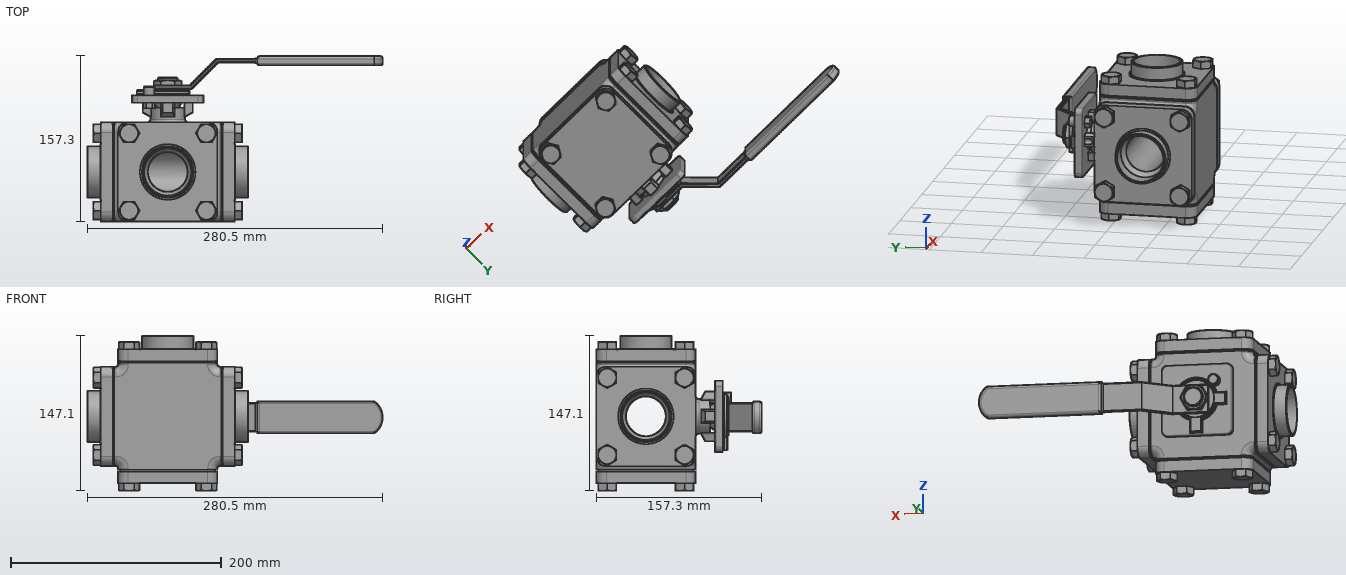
import cadquery as cq
import math


flange_width = 94.4
corner_radius = 9.5
half_width = flange_width / 2
body_end = 50.7
body_pad_start = 49.3
cover_inner = 52.4
cover_outer = 63.5
gasket_recess = 2.0
notch_radius = body_pad_start - half_width

pipe_radius = 24.5
pipe_end = 76.4
pipe_rim_chamfer = 0.6
weld_ring_radius = 26.4
weld_ring_height = 0.7
socket_radius = 22.4
socket_depth = 16.7
socket_cone_length = 7.8
bore_radius = 18.8

bolt_offset = 36.7
bolt_head_width = 17.2
bolt_head_top = 70.7
hex_chamfer_angle = 30.0

neck_radius = 16.6
neck_top = 61.0
neck_flare = 3.0
ear_width = 9.5
ear_root_width = 13.0
ear_inner = 15.5
ear_outer = 23.8
ear_shoulder = 56.4
ear_foot = 52.5
groove_radius = 2.7
groove_bottom = 57.2
gland_bottom_radius = 10.5
gland_top_radius = 13.3

plate_bottom = 65.6
plate_top = 73.0
plate_width = 68.0
plate_corner_radius = 5.3
plate_edge_radius = 0.7
pin_circle_radius = 25.0
pin_radius = 5.1
pin_top = 81.2
pin_chamfer = 0.6
pin_nut_width = 10.0
pin_nut_bottom = 60.4

stop_top = 77.8
stop_edge_chamfer = 1.2
spacer_radius = 18.0
stop_radius = 20.8
stop_lug_width = 12.0
stop_lug_x = -29.6
stop_lug_z = -32.4
stem_nut_width = 23.2
stem_nut_top = 86.9
stem_radius = 9.3
stem_top = 89.8
stem_chamfer = 1.0

handle_bottom = 78.5
handle_thickness = 4.0
handle_width = 27.5
handle_offset_z = -0.95
handle_start_x = -13.0
handle_bend_x = 21.0
handle_rise = 25.0
handle_edge_chamfer = 0.9
grip_start_x = 85.1
grip_shoulder_x = 196.0
grip_tip_x = 204.1
grip_width = 30.3
collar_length = 1.8
collar_height = 4.8
grip_front = 101.2
grip_back = 110.06
grip_front_radius = 1.8
grip_back_radius = 2.5

side_angles = (0, 90, 180, 270)
port_angles = (-90, 0, 90)
handle_top = handle_bottom + handle_thickness


def rounded_square(width, radius, start, end):
    """Square bar along Z with rounded long edges."""
    bar = cq.Workplane("XY").workplane(offset=start).rect(width, width).extrude(end - start)
    return bar.edges("|Z").fillet(radius)


def hex_bar(width, start, end):
    """Hexagonal bar along Z with two corners on the X axis."""
    corner_distance = width / math.cos(math.pi / 6)
    return cq.Workplane("XY").workplane(offset=start).polygon(6, corner_distance).extrude(end - start)


def chamfered_hex(width, start, end):
    """Hexagonal head along Z whose top corners are turned to a cone."""
    corner = width / math.sqrt(3)
    flat_radius = width / 2
    drop = (corner - flat_radius) * math.tan(math.radians(hex_chamfer_angle))
    turned = (
        cq.Workplane("XZ")
        .polyline([(0, start), (corner, start), (corner, end - drop), (flat_radius, end), (0, end)])
        .close()
        .revolve(360, (0, 0, 0), (0, 1, 0))
    )
    return hex_bar(width, start, end).intersect(turned)


def toward_stem(solid):
    """Turn a solid built along +Z so that it points along +Y, keeping X."""
    return solid.rotate((0, 0, 0), (1, 0, 0), -90)


def disc(radius, start, end):
    """Round disc on the stem axis between two Y levels."""
    return cq.Workplane("XZ", origin=(0, start, 0)).circle(radius).extrude(start - end)


def make_body():
    """Square block with its four Y edges notched by a flared cutter, and a pad on each end."""
    body_width = 2 * body_pad_start
    body = cq.Workplane("XY").box(body_width, flange_width, body_width)
    flare_radius = notch_radius + corner_radius
    flare_start = half_width - corner_radius
    mid = corner_radius * math.sqrt(0.5)
    mid_radius = flare_radius - mid
    mid_level = flare_start + mid
    cutter = (
        cq.Workplane("XY")
        .moveTo(0, -half_width)
        .lineTo(flare_radius, -half_width)
        .threePointArc((mid_radius, -mid_level), (notch_radius, -flare_start))
        .lineTo(notch_radius, flare_start)
        .threePointArc((mid_radius, mid_level), (flare_radius, half_width))
        .lineTo(0, half_width)
        .close()
        .revolve(360, (0, 0, 0), (0, 1, 0))
    )
    for x in (-body_pad_start, body_pad_start):
        for z in (-body_pad_start, body_pad_start):
            body = body.cut(cutter.translate((x, 0, z)))
    pad = rounded_square(flange_width, corner_radius, body_pad_start, body_end)
    for turn in side_angles:
        body = body.union(pad.rotate((0, 0, 0), (0, 1, 0), turn))
    return body


def make_cover():
    """Bolted cover on the +Z side, with its recessed gasket."""
    gasket_width = flange_width - 2 * gasket_recess
    cover = rounded_square(gasket_width, corner_radius - gasket_recess, body_end, cover_inner)
    cover = cover.union(rounded_square(flange_width, corner_radius, cover_inner, cover_outer))
    head = chamfered_hex(bolt_head_width, cover_outer, bolt_head_top)
    for x in (-bolt_offset, bolt_offset):
        for y in (-bolt_offset, bolt_offset):
            cover = cover.union(head.translate((x, y, 0)))
    return cover


def make_port():
    """Pipe stub with a ring at its foot, on the +Z cover."""
    base = cq.Workplane("XY").workplane(offset=cover_outer)
    stub = base.circle(pipe_radius).extrude(pipe_end - cover_outer)
    stub = stub.faces(">Z").edges().chamfer(pipe_rim_chamfer)
    return stub.union(base.circle(weld_ring_radius).extrude(weld_ring_height))


def make_bore():
    """Bore from the valve centre out through the +Z port, widening into a socket."""
    socket_floor = pipe_end - socket_depth
    cone_bottom = socket_floor - socket_cone_length
    outline = [
        (0, 0),
        (bore_radius, 0),
        (bore_radius, cone_bottom),
        (socket_radius, socket_floor),
        (socket_radius, pipe_end),
        (0, pipe_end),
    ]
    return cq.Workplane("XZ").polyline(outline).close().revolve(360, (0, 0, 0), (0, 1, 0))


def make_neck():
    """Stem neck with flared foot, four ears and the gland inside them."""
    flare_foot = (neck_radius + neck_flare, half_width)
    flare_top = (neck_radius, half_width + neck_flare)
    neck = (
        cq.Workplane("XY")
        .moveTo(0, half_width)
        .lineTo(*flare_foot)
        .radiusArc(flare_top, neck_flare)
        .lineTo(neck_radius, neck_top)
        .lineTo(gland_bottom_radius, neck_top)
        .lineTo(gland_top_radius, plate_bottom)
        .lineTo(0, plate_bottom)
        .close()
        .revolve(360, (0, 0, 0), (0, 1, 0))
    )
    ear = (
        cq.Workplane("XY")
        .polyline(
            [
                (ear_inner, plate_bottom),
                (ear_outer, plate_bottom),
                (ear_outer, ear_shoulder),
                (neck_radius, ear_foot),
                (ear_inner, ear_foot),
            ]
        )
        .close()
        .extrude(ear_root_width, both=True)
    )
    ear_plan = [
        (ear_inner, -ear_root_width / 2),
        (neck_radius, -ear_root_width / 2),
        (ear_outer, -ear_width / 2),
        (ear_outer, ear_width / 2),
        (neck_radius, ear_root_width / 2),
        (ear_inner, ear_root_width / 2),
    ]
    ear_bar = cq.Workplane("XZ", origin=(0, ear_foot, 0)).polyline(ear_plan).close()
    ear = ear.intersect(ear_bar.extrude(ear_foot - plate_bottom))
    for quarter in range(4):
        neck = neck.union(ear.rotate((0, 0, 0), (0, 1, 0), 90 * quarter))
    groove_end = groove_bottom + groove_radius
    groove = disc(groove_radius, groove_end, plate_bottom)
    groove = groove.union(cq.Workplane("XY", origin=(0, groove_end, 0)).sphere(groove_radius))
    return neck.cut(groove.translate((-ear_outer, 0, 0)))


def make_mounting_plate():
    """Square plate on the ears, with the stop pin and the nut under it."""
    plate = rounded_square(plate_width, plate_corner_radius, plate_bottom, plate_top)
    plate = toward_stem(plate.faces("<Z or >Z").edges().fillet(plate_edge_radius))
    pin_offset = pin_circle_radius * math.sqrt(0.5)
    pin = disc(pin_radius, plate_top, pin_top).faces(">Y").edges().chamfer(pin_chamfer)
    nut = toward_stem(hex_bar(pin_nut_width, pin_nut_bottom, plate_bottom))
    return plate.union(pin.union(nut).translate((-pin_offset, 0, pin_offset)))


def make_stop_plate():
    """Round plate with lugs toward -X and -Z, and a spacer disc between it and the handle."""
    base = cq.Workplane("XZ", origin=(0, plate_top, 0))
    thickness = stop_top - plate_top
    plate = base.circle(stop_radius).extrude(-thickness)
    plate = plate.union(base.center(stop_lug_x / 2, 0).rect(-stop_lug_x, stop_lug_width).extrude(-thickness))
    plate = plate.union(base.center(0, stop_lug_z / 2).rect(stop_lug_width, -stop_lug_z).extrude(-thickness))
    plate = plate.faces("<Y or >Y").edges().chamfer(stop_edge_chamfer)
    return plate.union(disc(spacer_radius, stop_top, handle_bottom))


def make_stem_end():
    """Nut clamping the handle and the stem end standing out of it."""
    nut = toward_stem(chamfered_hex(stem_nut_width, handle_top, stem_nut_top))
    stem = disc(stem_radius, stem_nut_top, stem_top).faces(">Y").edges().chamfer(stem_chamfer)
    return nut.union(stem)


def make_handle():
    """Flat strip cranked at 45 degrees, ending inside the grip, with a collar before it."""
    slope_shift = handle_thickness * math.tan(math.pi / 8)
    upper_bend_x = handle_bend_x + handle_rise
    strip_end = (grip_start_x + grip_shoulder_x) / 2
    outline = [
        (handle_start_x, handle_bottom),
        (handle_bend_x + slope_shift, handle_bottom),
        (upper_bend_x + slope_shift, handle_bottom + handle_rise),
        (strip_end, handle_bottom + handle_rise),
        (strip_end, handle_top + handle_rise),
        (upper_bend_x, handle_top + handle_rise),
        (handle_bend_x, handle_top),
        (handle_start_x, handle_top),
    ]
    strip = cq.Workplane("XY").polyline(outline).close().extrude(handle_width / 2, both=True)
    strip = strip.faces("<Z or >Z").edges().chamfer(handle_edge_chamfer)
    collar_x = grip_start_x - collar_length / 2
    collar_y = handle_bottom + handle_rise + handle_thickness / 2
    collar = cq.Workplane("XY").box(collar_length, collar_height, handle_width)
    collar = collar.translate((collar_x, collar_y, 0))
    return strip.union(collar).translate((0, 0, handle_offset_z))


def make_grip():
    """Sleeve over the handle end with a curved tip and rounded edges."""
    half = grip_width / 2
    grip = (
        cq.Workplane("XZ", origin=(0, grip_front, handle_offset_z))
        .moveTo(grip_start_x, -half)
        .lineTo(grip_shoulder_x, -half)
        .threePointArc((grip_tip_x, 0), (grip_shoulder_x, half))
        .lineTo(grip_start_x, half)
        .close()
        .extrude(grip_front - grip_back)
    )
    grip = grip.faces("<Y").edges().fillet(grip_front_radius)
    return grip.faces(">Y").edges().fillet(grip_back_radius)


result = make_body()
for angle in side_angles:
    result = result.union(make_cover().rotate((0, 0, 0), (0, 1, 0), angle))
for angle in port_angles:
    result = result.union(make_port().rotate((0, 0, 0), (0, 1, 0), angle))
    result = result.cut(make_bore().rotate((0, 0, 0), (0, 1, 0), angle))
for fitting in (
    make_neck(),
    make_mounting_plate(),
    make_stop_plate(),
    make_stem_end(),
    make_handle(),
    make_grip(),
):
    result = result.union(fitting)